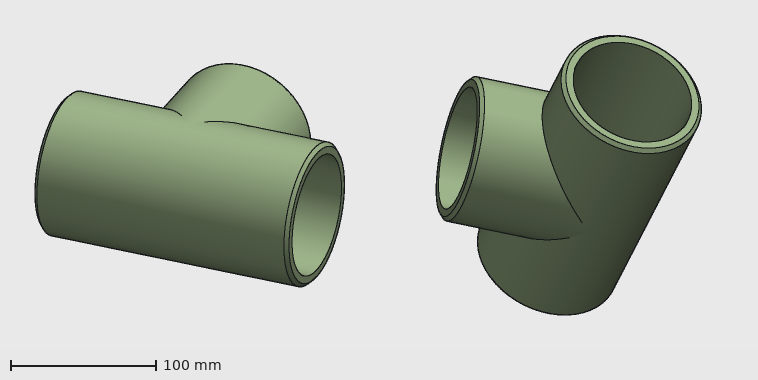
import cadquery as cq

run_length = 190.5
outer_diameter = 101.7
bore_diameter = 85.7
end_chamfer = 2.7
branch_reach = run_length / 2


def run_cylinder(diameter):
    """Cylinder along X, centred on the origin."""
    return cq.Workplane("YZ").circle(diameter / 2).extrude(run_length / 2, both=True)


def branch_cylinder(diameter):
    """Cylinder from the run axis to the branch end, along +Y."""
    return cq.Workplane("XZ").circle(diameter / 2).extrude(-branch_reach)


run = run_cylinder(outer_diameter).faces("<X or >X").chamfer(end_chamfer)
branch = branch_cylinder(outer_diameter).faces(">Y").chamfer(end_chamfer)
body = run.union(branch)

result = body.cut(run_cylinder(bore_diameter)).cut(branch_cylinder(bore_diameter))